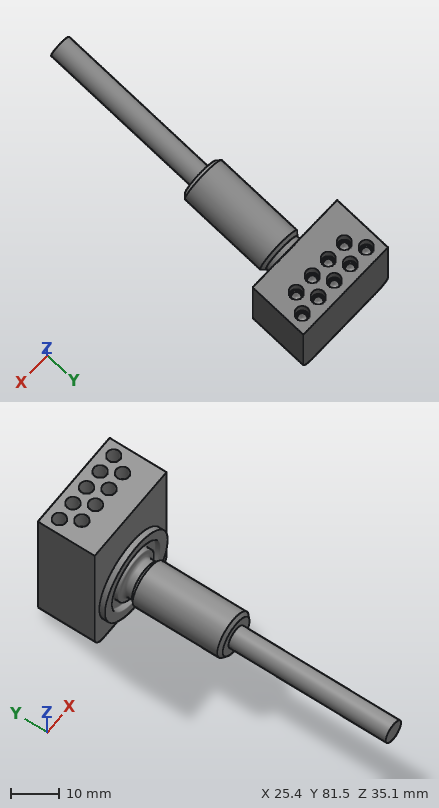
import cadquery as cq
import math

TOTAL_LENGTH = 81.45

BLOCK_WIDTH = 25.4
BLOCK_DEPTH = 14.5
BLOCK_HEIGHT = 35.1
BOTTOM_EDGE_RADIUS = 3.2
AXIS_HEIGHT = BLOCK_WIDTH / 2

FLANGE_DIAMETER = 22.2
FLANGE_THICKNESS = 1.5
GROOVE_OUTER_DIAMETER = 17.1
HUB_DIAMETER = 12.7
GROOVE_DEPTH = FLANGE_THICKNESS
GROOVE_EDGE_RADIUS = 0.2

NECK_DIAMETER = 9.4
NECK_LENGTH = 2.3
NECK_FILLET = 0.8
SLEEVE_DIAMETER = 11.15
SLEEVE_LENGTH = 23.1
SLEEVE_CHAMFER = 0.8
CABLE_DIAMETER = 5.45

HOLE_DIAMETER = 3.2
HOLE_DEPTH = 4.9
HOLE_FLOOR_DIAMETER = 2.8
PIT_DIAMETER = 2.0
PIT_POINT_ANGLE = 118.0
HOLE_PITCH = 4.8
BACK_ROW_COUNT = 5
FRONT_ROW_COUNT = 4
BACK_ROW_INSET = 3.25
ROW_SPACING = 4.0


def make_block():
    block = cq.Workplane("XY").box(BLOCK_WIDTH, BLOCK_DEPTH, BLOCK_HEIGHT, centered=(True, False, False))
    block = block.edges("|Y and <Z").fillet(BOTTOM_EDGE_RADIUS)
    return block.translate((0, 0, -AXIS_HEIGHT))


def make_turned_front():
    """Flange, hub, neck, sleeve and cable, revolved from one half profile about the Y axis."""
    groove_radius = GROOVE_OUTER_DIAMETER / 2
    hub_radius = HUB_DIAMETER / 2
    neck_radius = NECK_DIAMETER / 2
    sleeve_radius = SLEEVE_DIAMETER / 2
    cable_radius = CABLE_DIAMETER / 2
    edge = GROOVE_EDGE_RADIUS

    flange_face = -FLANGE_THICKNESS
    groove_floor = flange_face + GROOVE_DEPTH
    sleeve_start = flange_face - NECK_LENGTH
    sleeve_end = sleeve_start - SLEEVE_LENGTH
    cable_end = BLOCK_DEPTH - TOTAL_LENGTH

    profile = (
        cq.Workplane("XY")
        .moveTo(0, 0)
        .lineTo(FLANGE_DIAMETER / 2, 0)
        .lineTo(FLANGE_DIAMETER / 2, flange_face)
        .lineTo(groove_radius + edge, flange_face)
        .radiusArc((groove_radius, flange_face + edge), edge)
        .lineTo(groove_radius, groove_floor - edge)
        .radiusArc((groove_radius - edge, groove_floor), -edge)
        .lineTo(hub_radius + edge, groove_floor)
        .radiusArc((hub_radius, groove_floor - edge), -edge)
        .lineTo(hub_radius, flange_face + edge)
        .radiusArc((hub_radius - edge, flange_face), edge)
        .lineTo(neck_radius + NECK_FILLET, flange_face)
        .radiusArc((neck_radius, flange_face - NECK_FILLET), -NECK_FILLET)
        .lineTo(neck_radius, sleeve_start)
        .lineTo(sleeve_radius - SLEEVE_CHAMFER, sleeve_start)
        .lineTo(sleeve_radius, sleeve_start - SLEEVE_CHAMFER)
        .lineTo(sleeve_radius, sleeve_end + SLEEVE_CHAMFER)
        .lineTo(sleeve_radius - SLEEVE_CHAMFER, sleeve_end)
        .lineTo(cable_radius, sleeve_end)
        .lineTo(cable_radius, cable_end)
        .lineTo(0, cable_end)
        .close()
    )
    return profile.revolve(360, (0, 0, 0), (0, 1, 0))


def make_contact_hole():
    """Cutter with its mouth at the origin: bore, tapered end, then a conical pit in the floor."""
    bore_radius = HOLE_DIAMETER / 2
    floor_radius = HOLE_FLOOR_DIAMETER / 2
    pit_radius = PIT_DIAMETER / 2
    taper_depth = bore_radius - floor_radius
    pit_depth = pit_radius / math.tan(math.radians(PIT_POINT_ANGLE / 2))
    profile = (
        cq.Workplane("XZ")
        .lineTo(bore_radius, 0)
        .lineTo(bore_radius, taper_depth - HOLE_DEPTH)
        .lineTo(floor_radius, -HOLE_DEPTH)
        .lineTo(pit_radius, -HOLE_DEPTH)
        .lineTo(0, -HOLE_DEPTH - pit_depth)
        .close()
    )
    return profile.revolve(360, (0, 0, 0), (0, 1, 0))


def row_of_places(count, y):
    """Hole centres of one row, spread evenly about the middle of the block."""
    first_x = -HOLE_PITCH * (count - 1) / 2
    top = BLOCK_HEIGHT - AXIS_HEIGHT
    return [(first_x + i * HOLE_PITCH, y, top) for i in range(count)]


result = make_block().union(make_turned_front())

back_row_y = BLOCK_DEPTH - BACK_ROW_INSET
front_row_y = back_row_y - ROW_SPACING
hole_places = row_of_places(BACK_ROW_COUNT, back_row_y) + row_of_places(FRONT_ROW_COUNT, front_row_y)
contact_hole = make_contact_hole()
for place in hole_places:
    result = result.cut(contact_hole.translate(place))